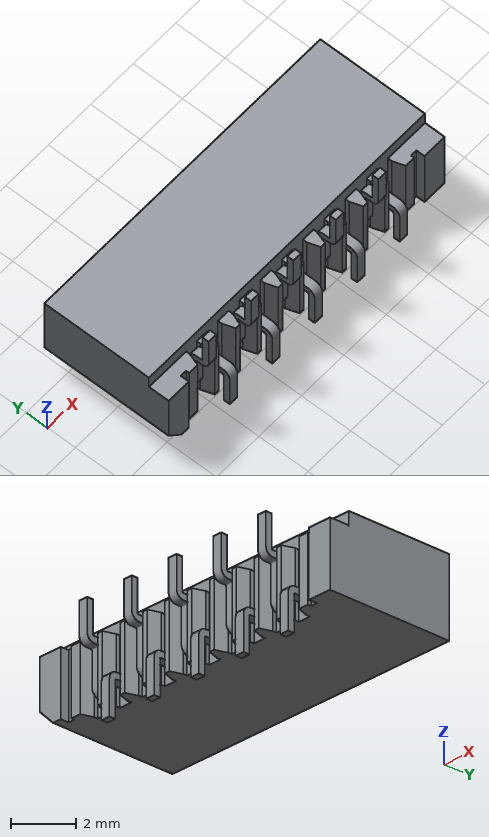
import cadquery as cq

LENGTH = 13.0
HEIGHT = 3.0
TOTAL_DEPTH = 5.1
HOUSING_FRONT_Y = 0.05
CORNER_CHAMFER = 0.6

STEP_HEIGHT = 0.5
STEP_WALL_Y = 0.85
COMB_TOP_Z = HEIGHT - STEP_HEIGHT

PIN_COUNT = 10
PITCH = 1.0
COMB_FRONT_Y = 0.25
SLOT_FLOOR_WIDTH = 0.5
SLOT_MOUTH_WIDTH = 0.8
SLOT_STRAIGHT_DEPTH = 0.15

GROOVE_INNER_X = 5.3
GROOVE_OUTER_X = 5.55
GROOVE_FLOOR_Y = 0.38

PIN_WIDTH = 0.36
PIN_THICKNESS = 0.25
BEND_INNER_RADIUS = 0.05
BEND_OUTER_RADIUS = BEND_INNER_RADIUS + PIN_THICKNESS
PIN_OVERHANG = 0.75
PIN_EMBEDMENT = 0.5
ROOT_BOTTOM_Z = 0.63
ROOT_TOP_Z = ROOT_BOTTOM_Z + PIN_THICKNESS
UPPER_STEM_Y = 0.55
PIN_END_Y = STEP_WALL_Y + PIN_EMBEDMENT


def plan_prism(points):
    """Full-height prism from a closed outline in the XY plane."""
    return cq.Workplane("XY").polyline(points).close().extrude(HEIGHT)


def make_block():
    """Housing block with its lower left corner bevelled and the front step cut."""
    half = LENGTH / 2
    outline = [
        (-half + CORNER_CHAMFER, 0),
        (half, 0),
        (half, HEIGHT),
        (-half, HEIGHT),
        (-half, CORNER_CHAMFER),
    ]
    depth = TOTAL_DEPTH - HOUSING_FRONT_Y
    block = (
        cq.Workplane("XZ", origin=(0, TOTAL_DEPTH, 0))
        .polyline(outline)
        .close()
        .extrude(depth)
    )
    step = cq.Workplane("XY").box(LENGTH, STEP_WALL_Y, STEP_HEIGHT, centered=(True, False, False))
    return block.cut(step.translate((0, 0, COMB_TOP_Z)))


def make_front_recess():
    """Space in front of the comb and the two grooves beside the end blocks."""
    outline = [
        (-GROOVE_OUTER_X, 0),
        (GROOVE_OUTER_X, 0),
        (GROOVE_OUTER_X, GROOVE_FLOOR_Y),
        (GROOVE_INNER_X, GROOVE_FLOOR_Y),
        (GROOVE_INNER_X, COMB_FRONT_Y),
        (-GROOVE_INNER_X, COMB_FRONT_Y),
        (-GROOVE_INNER_X, GROOVE_FLOOR_Y),
        (-GROOVE_OUTER_X, GROOVE_FLOOR_Y),
    ]
    return plan_prism(outline)


def make_slot(x):
    """Pin slot with a straight inner part and a flared mouth."""
    half_floor = SLOT_FLOOR_WIDTH / 2
    half_mouth = SLOT_MOUTH_WIDTH / 2
    flare_y = STEP_WALL_Y - SLOT_STRAIGHT_DEPTH
    outline = [
        (x - half_mouth, COMB_FRONT_Y),
        (x + half_mouth, COMB_FRONT_Y),
        (x + half_floor, flare_y),
        (x + half_floor, STEP_WALL_Y),
        (x - half_floor, STEP_WALL_Y),
        (x - half_floor, flare_y),
    ]
    return plan_prism(outline)


def sweep_bar(outline, x):
    """Bar of pin width centred on x from a closed YZ outline."""
    return outline.extrude(PIN_WIDTH / 2, both=True).translate((x, 0, 0))


def round_bend(bar, inner_corner, outer_corner):
    """Round both edges of a bend, each given as a (y, z) corner."""
    reach = BEND_INNER_RADIUS
    for (y, z), radius in ((inner_corner, BEND_INNER_RADIUS), (outer_corner, BEND_OUTER_RADIUS)):
        near_corner = cq.selectors.BoxSelector(
            (-LENGTH, y - reach, z - reach), (LENGTH, y + reach, z + reach)
        )
        bar = bar.edges("|X").edges(near_corner).fillet(radius)
    return bar


def make_lower_pin(x):
    """Pin that leaves the housing and bends down past the underside."""
    outline = (
        cq.Workplane("YZ")
        .moveTo(PIN_END_Y, ROOT_TOP_Z)
        .lineTo(0, ROOT_TOP_Z)
        .lineTo(0, -PIN_OVERHANG)
        .lineTo(PIN_THICKNESS, -PIN_OVERHANG)
        .lineTo(PIN_THICKNESS, ROOT_BOTTOM_Z)
        .lineTo(PIN_END_Y, ROOT_BOTTOM_Z)
        .close()
    )
    bar = sweep_bar(outline, x)
    return round_bend(bar, (PIN_THICKNESS, ROOT_BOTTOM_Z), (0, ROOT_TOP_Z))


def make_upper_pin(x):
    """Pin that rises inside its slot, jogs forward and rises past the top face."""
    stem_back_y = UPPER_STEM_Y + PIN_THICKNESS
    jog_top_z = COMB_TOP_Z
    jog_bottom_z = jog_top_z - PIN_THICKNESS
    tip_z = HEIGHT + PIN_OVERHANG
    outline = (
        cq.Workplane("YZ")
        .moveTo(PIN_END_Y, ROOT_BOTTOM_Z)
        .lineTo(UPPER_STEM_Y, ROOT_BOTTOM_Z)
        .lineTo(UPPER_STEM_Y, jog_bottom_z)
        .lineTo(0, jog_bottom_z)
        .lineTo(0, tip_z)
        .lineTo(PIN_THICKNESS, tip_z)
        .lineTo(PIN_THICKNESS, jog_top_z)
        .lineTo(stem_back_y, jog_top_z)
        .lineTo(stem_back_y, ROOT_TOP_Z)
        .lineTo(PIN_END_Y, ROOT_TOP_Z)
        .close()
    )
    bar = sweep_bar(outline, x)
    bar = round_bend(bar, (stem_back_y, ROOT_TOP_Z), (UPPER_STEM_Y, ROOT_BOTTOM_Z))
    bar = round_bend(bar, (UPPER_STEM_Y, jog_bottom_z), (stem_back_y, jog_top_z))
    return round_bend(bar, (PIN_THICKNESS, jog_top_z), (0, jog_bottom_z))


pin_positions = [(i - (PIN_COUNT - 1) / 2) * PITCH for i in range(PIN_COUNT)]

result = make_block().cut(make_front_recess())
for pin_x in pin_positions:
    result = result.cut(make_slot(pin_x))

for upper_x in pin_positions[0::2]:
    result = result.union(make_upper_pin(upper_x))
for lower_x in pin_positions[1::2]:
    result = result.union(make_lower_pin(lower_x))